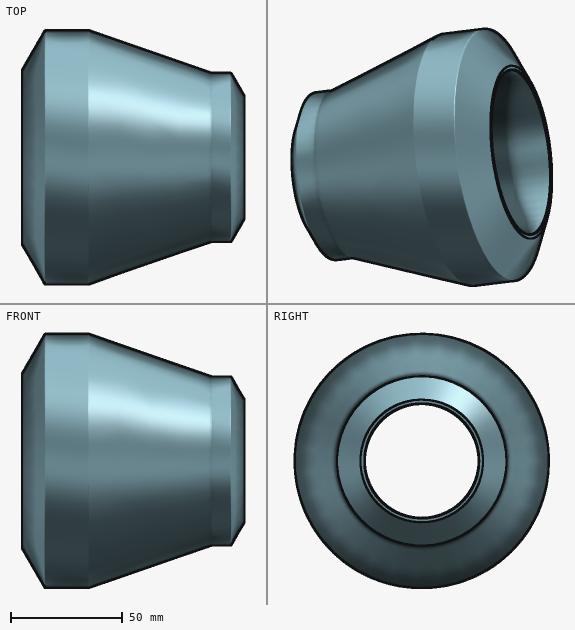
import cadquery as cq
import math


length = 100.0
large_diameter = 114.3
small_diameter = 76.1
large_bore = 74.3
small_bore = 51.1

root_width = 2.0
bevel_angle = 30.0
large_collar_end = 30.0
small_collar_start = 85.0
bore_land = 17.0
mouth_chamfer = 0.3
corner_round = 1.0
radius_tolerance = 0.01

large_radius = large_diameter / 2
small_radius = small_diameter / 2
large_bore_radius = large_bore / 2
small_bore_radius = small_bore / 2
large_root_radius = large_bore_radius + root_width
small_root_radius = small_bore_radius + root_width


def bevel_length(outer_radius, root_radius):
    """Axial length of a weld bevel between two radii."""
    return (outer_radius - root_radius) * math.tan(math.radians(bevel_angle))


def revolved_body():
    """Revolve the half section, drawn with X along the axis and Y as the radius."""
    large_bevel = bevel_length(large_radius, large_root_radius)
    small_bevel = bevel_length(small_radius, small_root_radius)
    half_section = (
        cq.Workplane("XY")
        .moveTo(0, large_bore_radius + mouth_chamfer)
        .lineTo(0, large_root_radius)
        .lineTo(large_bevel, large_radius)
        .lineTo(large_collar_end, large_radius)
        .lineTo(small_collar_start, small_radius)
        .lineTo(length - small_bevel, small_radius)
        .lineTo(length, small_root_radius)
        .lineTo(length, small_bore_radius + mouth_chamfer)
        .lineTo(length - mouth_chamfer, small_bore_radius)
        .lineTo(length - bore_land, small_bore_radius)
        .lineTo(bore_land, large_bore_radius)
        .lineTo(mouth_chamfer, large_bore_radius)
        .close()
    )
    return half_section.revolve(360, (0, 0, 0), (1, 0, 0))


def is_collar_circle(edge):
    """True for the circles that bound the large or the small collar."""
    offsets = [abs(edge.radius() - radius) for radius in (large_radius, small_radius)]
    return min(offsets) < radius_tolerance


def round_collar_corners(body):
    """Round the outer circles where each collar meets its bevel and the taper."""
    collar_circles = [edge for edge in body.edges("%CIRCLE").vals() if is_collar_circle(edge)]
    return body.newObject(collar_circles).fillet(corner_round)


result = round_collar_corners(revolved_body())